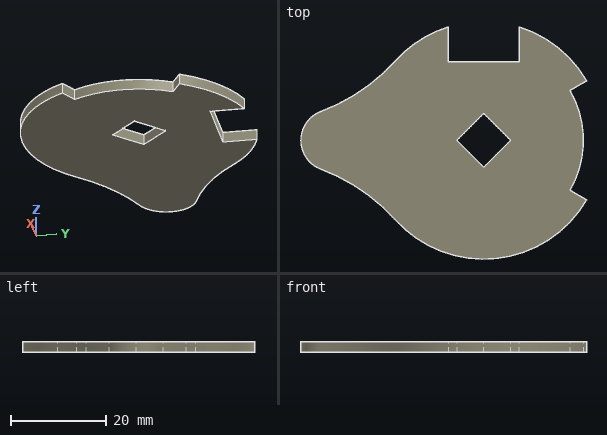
import cadquery as cq
import math

thickness = 2.3
disk_radius = 25.0
nose_radius = 6.5
nose_offset = 32.0
flank_radius = 40.0
notch_width = 14.9
notch_floor = 16.55
relief_radius = 21.0
relief_half_angle = 30
square_side = 8.0


def tangent_flank():
    """Start, middle and end of the upper flank, running from disk to nose."""
    from_disk = disk_radius + flank_radius
    from_nose = nose_radius + flank_radius
    center_x = -(from_disk**2 - from_nose**2 + nose_offset**2) / (2 * nose_offset)
    center_y = math.sqrt(from_disk**2 - center_x**2)
    disk_angle = math.atan2(-center_y, -center_x)
    nose_angle = math.atan2(-center_y, -nose_offset - center_x)
    angles = (disk_angle, (disk_angle + nose_angle) / 2, nose_angle)
    return [
        (center_x + flank_radius * math.cos(a), center_y + flank_radius * math.sin(a))
        for a in angles
    ]


def mirrored(point):
    return (point[0], -point[1])


def cam_body():
    disk_end, flank_middle, nose_end = tangent_flank()
    return (
        cq.Workplane("XY")
        .moveTo(*mirrored(disk_end))
        .threePointArc((disk_radius, 0), disk_end)
        .threePointArc(flank_middle, nose_end)
        .threePointArc((-nose_offset - nose_radius, 0), mirrored(nose_end))
        .threePointArc(mirrored(flank_middle), mirrored(disk_end))
        .close()
        .extrude(thickness)
    )


def top_notch():
    depth = disk_radius - notch_floor
    return (
        cq.Workplane("XY")
        .center(0, notch_floor + depth / 2)
        .rect(notch_width, depth)
        .extrude(thickness)
    )


def rim_relief():
    """Ring sector with radial end walls that lowers the rim on the +X side."""
    outer_radius = disk_radius + 0.6
    angle = math.radians(relief_half_angle)
    direction = (math.cos(angle), math.sin(angle))
    inner = (relief_radius * direction[0], relief_radius * direction[1])
    outer = (outer_radius * direction[0], outer_radius * direction[1])
    return (
        cq.Workplane("XY")
        .moveTo(*mirrored(inner))
        .lineTo(*mirrored(outer))
        .threePointArc((outer_radius, 0), outer)
        .lineTo(*inner)
        .threePointArc((relief_radius, 0), mirrored(inner))
        .close()
        .extrude(thickness)
    )


def square_hole():
    square = cq.Workplane("XY").rect(square_side, square_side).extrude(thickness)
    return square.rotate((0, 0, 0), (0, 0, 1), 45)


result = cam_body().cut(top_notch()).cut(rim_relief()).cut(square_hole())